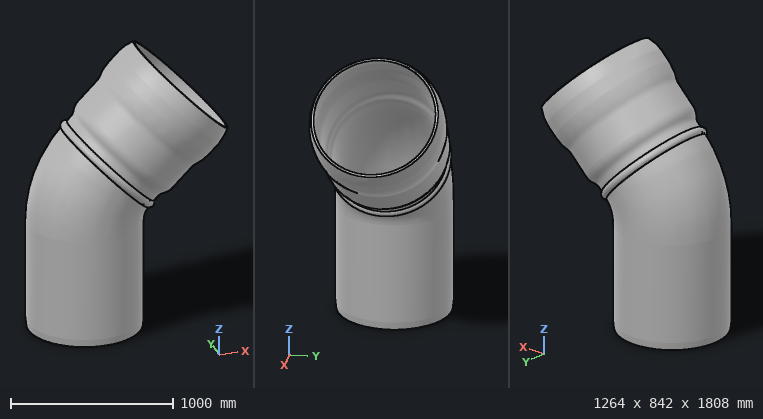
import cadquery as cq
import math

total_height = 1808.0
total_length = 1264.0
bend_angle = 45.0

pipe_radius = 365.0
wall = 16.0
straight_length = 702.0
end_taper_height = 50.0
end_taper_inset = 5.0

barrel_radius = 396.0
collar_radius = 421.0
mouth_radius = 396.0

collar_front = 105.0
collar_back = 193.0
barrel_front = 331.0
barrel_back = 503.0
neck_front = 602.0

collar_step_radius = 280.0
neck_step_radius = 108.0

collar_bore_convex_radius = 163.0
collar_bore_concave_radius = 157.0

bead_half_width = 27.0
bead_outer_radius = 383.0

bend = math.radians(bend_angle)
mouth_x = total_length - pipe_radius - mouth_radius * math.sin(bend)
mouth_z = total_height - mouth_radius * math.sin(bend)

bend_radius = (mouth_z - mouth_x - straight_length) / (math.sin(bend) + math.cos(bend) - 1)
joint_x = bend_radius * (1 - math.cos(bend))
joint_z = straight_length + bend_radius * math.sin(bend)
socket_length = (mouth_x - joint_x) / math.sin(bend)

touch_tolerance = 0.02

socket_plane = cq.Plane(
    origin=(joint_x, 0, joint_z),
    xDir=(math.cos(bend), 0, -math.sin(bend)),
    normal=(math.sin(bend), 0, math.cos(bend)),
)


def straight_and_bend(radius):
    """Solid rod of the given radius: vertical leg followed by the bend."""
    leg = cq.Workplane("XY").circle(radius).extrude(straight_length)
    elbow = (
        cq.Workplane("XY", origin=(0, 0, straight_length))
        .circle(radius)
        .revolve(bend_angle, (bend_radius, 0), (bend_radius, 1))
    )
    return leg.union(elbow)


def radius_sum(length, drop):
    """Sum of the radii of two touching arcs that step down by drop over length."""
    return (length**2 + drop**2) / (2 * drop)


def step_down(profile, start, end, convex_radius, concave_radius=None):
    """Step from start to end, given as (radius, depth), parallel to the axis at both ends.

    A convex arc leads to a concave arc. Without concave_radius the arcs touch;
    with it, a straight line tangent to both joins them.
    """
    length = end[1] - start[1]
    drop = start[0] - end[0]
    if concave_radius is None:
        concave_radius = radius_sum(length, drop) - convex_radius
        slope = 2 * math.atan(drop / length)
    else:
        both = convex_radius + concave_radius
        straight = math.sqrt(length**2 + (both - drop) ** 2 - both**2)
        slope = math.atan2(length, both - drop) - math.atan2(straight, both)

    def on_arcs(angle):
        convex = (
            start[0] - convex_radius * (1 - math.cos(angle)),
            socket_length - start[1] - convex_radius * math.sin(angle),
        )
        concave = (
            end[0] + concave_radius * (1 - math.cos(angle)),
            socket_length - end[1] + concave_radius * math.sin(angle),
        )
        return convex, concave

    convex_mid, concave_mid = on_arcs(slope / 2)
    convex_end, concave_start = on_arcs(slope)
    profile = profile.threePointArc(convex_mid, convex_end)
    if math.dist(convex_end, concave_start) > touch_tolerance:
        profile = profile.lineTo(*concave_start)
    return profile.threePointArc(concave_mid, (end[0], socket_length - end[1]))


def socket_body(inset, *collar_step_radii):
    """Solid of revolution of the socket with every radius reduced by inset.

    The remaining values are the arc radii of the step behind the collar.
    """
    mouth = mouth_radius - inset
    collar = collar_radius - inset
    barrel = barrel_radius - inset
    neck = pipe_radius - inset

    lip_drop = collar - mouth
    lip_arc_radius = (collar_front**2 + lip_drop**2) / (2 * lip_drop)
    half_angle = math.asin(collar_front / lip_arc_radius) / 2
    lip_mid = (
        collar - lip_arc_radius * (1 - math.cos(half_angle)),
        socket_length - collar_front + lip_arc_radius * math.sin(half_angle),
    )

    profile = (
        cq.Workplane("XZ")
        .moveTo(0, socket_length)
        .lineTo(mouth, socket_length)
        .threePointArc(lip_mid, (collar, socket_length - collar_front))
        .lineTo(collar, socket_length - collar_back)
    )
    profile = step_down(
        profile, (collar, collar_back), (barrel, barrel_front), *collar_step_radii
    )
    profile = profile.lineTo(barrel, socket_length - barrel_back)
    profile = step_down(
        profile, (barrel, barrel_back), (neck, neck_front), neck_step_radius - inset
    )
    body = profile.lineTo(neck, 0).lineTo(0, 0).close().revolve(360, (0, 0), (0, 1))
    return cq.Workplane(body.val().moved(cq.Location(socket_plane)))


def bead():
    """Rounded ring standing proud of the tube at the joint."""
    root_radius = pipe_radius - wall / 2
    ring = (
        cq.Workplane("XZ")
        .moveTo(root_radius, -bead_half_width)
        .lineTo(pipe_radius, -bead_half_width)
        .threePointArc((bead_outer_radius, 0), (pipe_radius, bead_half_width))
        .lineTo(root_radius, bead_half_width)
        .close()
        .revolve(360, (0, 0), (0, 1))
    )
    return cq.Workplane(ring.val().moved(cq.Location(socket_plane)))


def end_taper_cut():
    """Material removed around the plain end to taper it."""
    blank = cq.Workplane("XY").circle(pipe_radius + wall).extrude(end_taper_height)
    cone = cq.Solid.makeCone(pipe_radius - end_taper_inset, pipe_radius, end_taper_height)
    return blank.cut(cq.Workplane(cone))


outside = (
    straight_and_bend(pipe_radius)
    .union(socket_body(0, collar_step_radius))
    .union(bead())
)
bore = straight_and_bend(pipe_radius - wall).union(
    socket_body(wall, collar_bore_convex_radius, collar_bore_concave_radius)
)
result = outside.cut(end_taper_cut()).cut(bore)